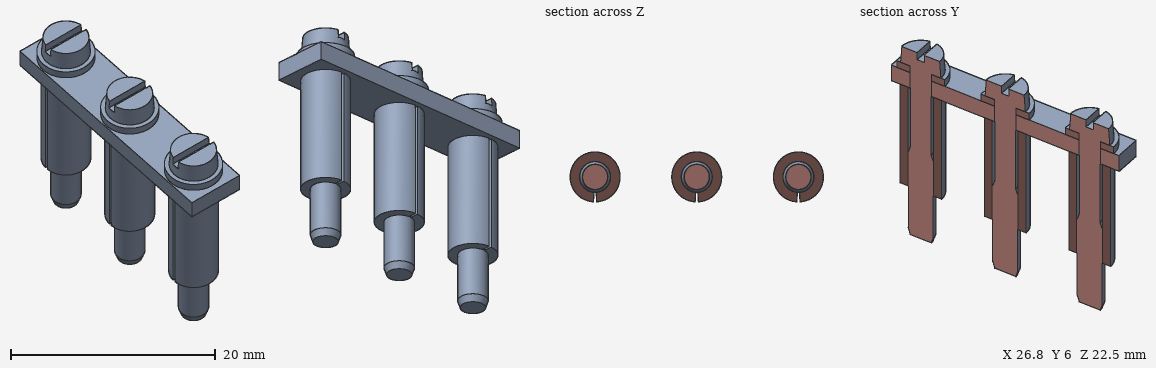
import cadquery as cq
import math

BAR_LENGTH = 26.8
BAR_WIDTH = 6.0
BAR_THICKNESS = 1.95

SCREW_COUNT = 3
SCREW_PITCH = 9.95

WASHER_DIAMETER = 5.7
WASHER_THICKNESS = 0.8

HEAD_BASE_DIAMETER = 4.8
HEAD_TOP_DIAMETER = 4.5
HEAD_HEIGHT = 1.95
DRIVE_SLOT_WIDTH = 0.8
DRIVE_SLOT_DEPTH = 0.85

SHANK_DIAMETER = 3.0
NECK_DIAMETER = 2.5
TIP_DIAMETER = 2.5
NECK_DEPTH = 7.1
CONE_HEIGHT = 0.7
TIP_HEIGHT = 0.75
SHANK_PROJECTION = 5.82

SLEEVE_DIAMETER = 4.9
SLEEVE_LENGTH = 11.98
SLIT_ANGLE = 7.0

WASHER_TOP = BAR_THICKNESS + WASHER_THICKNESS
HEAD_TOP = WASHER_TOP + HEAD_HEIGHT
NECK_END = -NECK_DEPTH
CONE_END = NECK_END - CONE_HEIGHT
TIP_END = -SLEEVE_LENGTH - SHANK_PROJECTION
TIP_START = TIP_END + TIP_HEIGHT

SCREW_POSITIONS = [
    (SCREW_PITCH * (index - (SCREW_COUNT - 1) / 2), 0) for index in range(SCREW_COUNT)
]


def make_bar():
    """Flat bar with one hole per screw, fitting the screw neck."""
    blank = cq.Workplane("XY").box(BAR_LENGTH, BAR_WIDTH, BAR_THICKNESS, centered=(True, True, False))
    holes = cq.Workplane("XY").pushPoints(SCREW_POSITIONS).circle(NECK_DIAMETER / 2).extrude(BAR_THICKNESS)
    return blank.cut(holes)


def make_washer():
    """Plain ring between the bar and the screw head."""
    return (
        cq.Workplane("XY", origin=(0, 0, BAR_THICKNESS))
        .circle(WASHER_DIAMETER / 2)
        .circle(NECK_DIAMETER / 2)
        .extrude(WASHER_THICKNESS)
    )


def make_sleeve():
    """Tube around the shank, slit along its whole length on the -Y side by a radial wedge."""
    tube = (
        cq.Workplane("XY")
        .circle(SLEEVE_DIAMETER / 2)
        .circle(SHANK_DIAMETER / 2)
        .extrude(-SLEEVE_LENGTH)
    )
    wedge_depth = SLEEVE_DIAMETER
    wedge_half_width = wedge_depth * math.tan(math.radians(SLIT_ANGLE / 2))
    slit = (
        cq.Workplane("XY")
        .polyline([(0, 0), (-wedge_half_width, -wedge_depth), (wedge_half_width, -wedge_depth)])
        .close()
        .extrude(-SLEEVE_LENGTH)
    )
    return tube.cut(slit)


def make_screw():
    """Turned screw with a tapered head and a drive slot running along Y."""
    half_profile = [
        (0, HEAD_TOP),
        (HEAD_TOP_DIAMETER / 2, HEAD_TOP),
        (HEAD_BASE_DIAMETER / 2, WASHER_TOP),
        (NECK_DIAMETER / 2, WASHER_TOP),
        (NECK_DIAMETER / 2, NECK_END),
        (SHANK_DIAMETER / 2, CONE_END),
        (SHANK_DIAMETER / 2, TIP_START),
        (TIP_DIAMETER / 2, TIP_END),
        (0, TIP_END),
    ]
    turned = cq.Workplane("XZ").polyline(half_profile).close().revolve(360, (0, 0, 0), (0, 1, 0))
    drive_slot = cq.Workplane("XY").box(
        DRIVE_SLOT_WIDTH, HEAD_BASE_DIAMETER, DRIVE_SLOT_DEPTH, centered=(True, True, False)
    )
    return turned.cut(drive_slot.translate((0, 0, HEAD_TOP - DRIVE_SLOT_DEPTH)))


bar = make_bar()

screw_sets = []
for x, y in SCREW_POSITIONS:
    for body in (make_washer(), make_sleeve(), make_screw()):
        screw_sets.append(body.translate((x, y, 0)).val())

result = cq.Compound.makeCompound([bar.val(), *screw_sets])